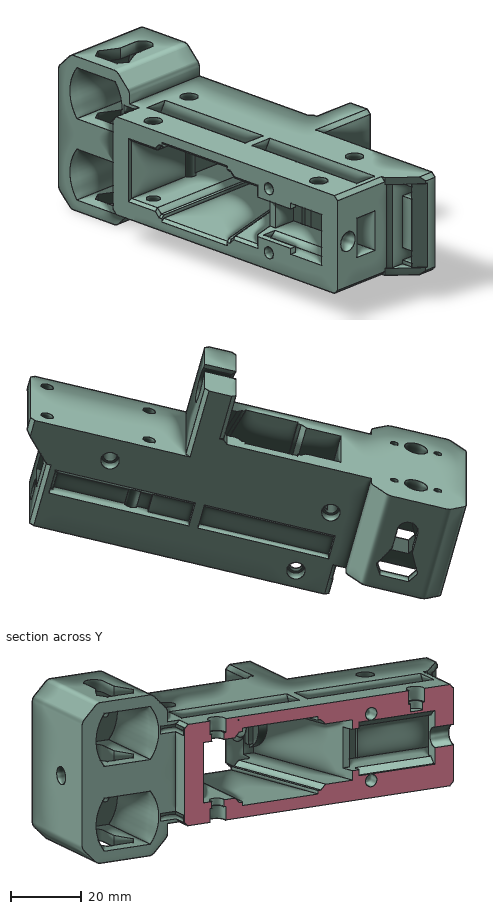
import cadquery as cq
import math

LENGTH = 126.8
TOTAL_DEPTH = 53.5
BLOCK_HEIGHT = 47.7

BLOCK_LENGTH = 28.0
BLOCK_FRONT = 9.5
BLOCK_BACK = 38.5
BLOCK_CHAMFER = 5.1
BLOCK_ROUND = 2.5
MOTOR_X = 14.8
MOTOR_Z = 12.5
MOTOR_HALF_WIDTH = 10.3
MOTOR_HALF_HEIGHT = 7.9
MOTOR_FLAT_HALF = 7.5
MOTOR_DEPTH = 24.1
SHAFT_DIAMETER = 6.7
MOTOR_SCREW_DIAMETER = 2.2
MOTOR_SCREW_PITCH = 12.8
KEY_WIDTH = 6.0
KEY_TOP_Y = 31.8
KEY_NECK_Y = 22.7
KEY_WIDE_Y = 16.7
KEY_WIDE_HALF = 6.1
KEY_BASE_Y = 13.7
KEY_BASE_HALF = 4.2

SCREW_DIAMETER = 4.0
SCREW_MOUTH = 5.2
MOUTH_DEPTH = 4.0
SIDE_HOLE_Y = 21.7
THROUGH_SCREWS = [(36.5, 25.2), (101.5, 25.2), (41.6, 5.1)]
BLIND_SCREW = (106.6, 5.1)
BLIND_SCREW_DEPTH = 6.3

BODY_START = 30.5
BODY_END = 118.8
BODY_HALF = 15.1
BODY_CHAMFER = 1.3
FINGER_START = 71.7
FINGER_END = 81.0
FINGER_ROOT = 1.1
TONGUE_BACK = 32.1
TONGUE_FRONT = 28.1
TONGUE_ROOT = 19.6

CAVITY_START = 37.0
CAVITY_END = 86.7
CAVITY_HALF = 8.9
RECESS_START = 49.7
RECESS_END = 75.4
RECESS_HALF = 11.4
RECESS_LEDGE_HALF = 10.4
LEDGE_WIDTH = 1.0
MOUTH_CHAMFER = 0.9
WALL_ANGLE = 15.0

RING_Y = 47.9
RING_DIAMETER = 10.0
RING_CHAMFER = 1.0
RING_GAP = 5.0
NOTCH_HALF = 8.9
NOTCH_BACK = 43.2
PAD_Y = 45.2
PAD_RADIUS = 7.4
PAD_START = 73.8
RIM_START = 72.2
RIM_HALF = 5.6
RIM_FRONT = 41.2

CHAMBER_START = 87.8
CHAMBER_END = 112.5
CHAMBER_HALF = 6.1
CHAMBER_DEPTH = 8.1
CHAMBER_BACK = 15.6
RELIEF_START = 100.4
RELIEF_HALF = 7.9
RELIEF_BACK = 6.7
LIP_THICKNESS = 2.0
END_HOLE_DIAMETER = 6.0
END_HOLE_Y = 4.3

TIE_DIAMETER = 3.5
TIE_Z = 9.9
BODY_TIE_X = 91.8
TONGUE_TIE_X = 121.8
TIE_GROOVE_DEPTH = 1.3
SEAT_HALF = 12.9
SEAT_DEPTH = 0.6
SEAT_GROOVE_WIDTH = 3.8
SEAT_GROOVE_FLOOR = 25.7
SQUARE_HOLE_BACK = 30.2

WINDOW_FRONT = 11.0
WINDOW_BACK = 18.5
WINDOW_SLOPE = 60.0
WINDOW_DEPTH = 3.2
LEFT_WINDOW_START = 33.5
LEFT_WINDOW_END = 72.0
RIGHT_WINDOW_START = 74.7
RIGHT_WINDOW_END = 115.8
DEEP_WINDOW_END = 114.7
DEEP_WINDOW_DEPTH = 5.1

CHANNEL_RADIUS = 4.8
CHANNEL_Z = 12.9
CHANNEL_WIDTH = 2.3
CHANNEL_END = 33.0

WALL_LEAN = math.tan(math.radians(WALL_ANGLE))
SIDES = (1, -1)


def box(x0, x1, y0, y1, half_z):
    """Box between two corners in plan, centred on the mid plane."""
    return (cq.Workplane("XY").box(x1 - x0, y1 - y0, 2 * half_z, centered=(False, False, True))
            .translate((x0, y0, 0)))


def plan_prism(points, half_z):
    """Plan outline extruded evenly about the mid plane."""
    return cq.Workplane("XY").polyline(points).close().extrude(half_z, both=True)


def y_cylinder(x, z, diameter, y0, y1):
    return cq.Workplane(cq.Solid.makeCylinder(
        diameter / 2, y1 - y0, cq.Vector(x, y0, z), cq.Vector(0, 1, 0)))


def x_cylinder(y, diameter, x0, x1):
    return cq.Workplane(cq.Solid.makeCylinder(
        diameter / 2, x1 - x0, cq.Vector(x0, y, 0), cq.Vector(1, 0, 0)))


def screw_hole(mouth, direction, depth):
    """Round hole with a wider bore at its mouth."""
    start = cq.Vector(*mouth)
    axis = cq.Vector(*direction)
    hole = cq.Solid.makeCylinder(SCREW_DIAMETER / 2, depth, start, axis)
    bore = cq.Solid.makeCylinder(SCREW_MOUTH / 2, MOUTH_DEPTH, start, axis)
    return cq.Workplane(hole).union(cq.Workplane(bore))


def wall_x(y):
    """X of the leaning end wall of the main cavity."""
    return CAVITY_END - y * WALL_LEAN


def motor_block():
    return (box(0, BLOCK_LENGTH, BLOCK_FRONT, BLOCK_BACK, BLOCK_HEIGHT / 2)
            .edges("|Y").chamfer(BLOCK_CHAMFER)
            .edges("|Y").fillet(BLOCK_ROUND))


def body():
    root = FINGER_START - FINGER_ROOT
    main = box(BODY_START, BODY_END, 0, TONGUE_BACK, BODY_HALF).edges("|Y").chamfer(BODY_CHAMFER)
    rear = plan_prism([
        (MOTOR_X, BLOCK_FRONT), (FINGER_END, BLOCK_FRONT), (FINGER_END, BLOCK_BACK + FINGER_ROOT),
        (FINGER_START, BLOCK_BACK + FINGER_ROOT), (root, BLOCK_BACK), (MOTOR_X, BLOCK_BACK),
    ], BODY_HALF)
    finger = (box(FINGER_START, FINGER_END, TONGUE_BACK, TOTAL_DEPTH, BODY_HALF)
              .edges("|Y").chamfer(BODY_CHAMFER))
    rear = rear.cut(box(FINGER_START + BODY_CHAMFER, FINGER_END, TONGUE_BACK, TOTAL_DEPTH, BODY_HALF))
    tongue = (plan_prism([
        (FINGER_START, TONGUE_ROOT), (BODY_END, TONGUE_ROOT), (LENGTH, TONGUE_FRONT),
        (LENGTH, TONGUE_BACK), (FINGER_START, TONGUE_BACK),
    ], BODY_HALF).edges("|Y and >X").chamfer(BODY_CHAMFER))
    return main.union(rear).union(finger).union(tongue)


def motor_cuts(side):
    """Flat-sided motor pocket with its shaft hole and two screw holes."""
    z = side * MOTOR_Z
    floor = BLOCK_FRONT + MOTOR_DEPTH
    cuts = (cq.Workplane("XZ", origin=(MOTOR_X, BLOCK_FRONT, z))
            .moveTo(-MOTOR_FLAT_HALF, -MOTOR_HALF_HEIGHT)
            .lineTo(MOTOR_FLAT_HALF, -MOTOR_HALF_HEIGHT)
            .threePointArc((MOTOR_HALF_WIDTH, 0), (MOTOR_FLAT_HALF, MOTOR_HALF_HEIGHT))
            .lineTo(-MOTOR_FLAT_HALF, MOTOR_HALF_HEIGHT)
            .threePointArc((-MOTOR_HALF_WIDTH, 0), (-MOTOR_FLAT_HALF, -MOTOR_HALF_HEIGHT))
            .close().extrude(-MOTOR_DEPTH))
    cuts = cuts.union(y_cylinder(MOTOR_X, z, SHAFT_DIAMETER, floor, BLOCK_BACK))
    for offset in (-MOTOR_SCREW_PITCH / 2, MOTOR_SCREW_PITCH / 2):
        cuts = cuts.union(y_cylinder(MOTOR_X + offset, z, MOTOR_SCREW_DIAMETER, floor, BLOCK_BACK))
    return cuts


def keyhole():
    half = KEY_WIDTH / 2
    return (cq.Workplane("XY").center(MOTOR_X, 0)
            .moveTo(-half, KEY_NECK_Y).lineTo(-half, KEY_TOP_Y - half)
            .threePointArc((0, KEY_TOP_Y), (half, KEY_TOP_Y - half))
            .lineTo(half, KEY_NECK_Y).lineTo(KEY_WIDE_HALF, KEY_WIDE_Y)
            .lineTo(KEY_BASE_HALF, KEY_BASE_Y).lineTo(-KEY_BASE_HALF, KEY_BASE_Y)
            .lineTo(-KEY_WIDE_HALF, KEY_WIDE_Y)
            .close().extrude(BLOCK_HEIGHT / 2, both=True))


def cavity_section(y, lean_y, grow):
    """Closed stepped section of the main cavity; its +X steps follow the leaning wall."""
    shift = lean_y * WALL_LEAN
    ramp = RECESS_LEDGE_HALF - CAVITY_HALF
    upper = [
        (CAVITY_START - grow / 2, CAVITY_HALF),
        (RECESS_START - LEDGE_WIDTH - ramp, CAVITY_HALF),
        (RECESS_START - LEDGE_WIDTH, RECESS_LEDGE_HALF),
        (RECESS_START, RECESS_LEDGE_HALF),
        (RECESS_START, RECESS_HALF),
        (RECESS_END - shift, RECESS_HALF),
        (RECESS_END - shift, RECESS_LEDGE_HALF),
        (RECESS_END + LEDGE_WIDTH - shift, RECESS_LEDGE_HALF),
        (RECESS_END + LEDGE_WIDTH + ramp - shift, CAVITY_HALF),
        (CAVITY_END + grow - shift, CAVITY_HALF),
    ]
    outline = [cq.Vector(x, y, z + grow) for x, z in upper]
    outline += [cq.Vector(x, y, -z - grow) for x, z in reversed(upper)]
    return cq.Wire.makePolygon(outline, close=True)


def main_cavity():
    through = cq.Solid.makeLoft(
        [cavity_section(0, 0, 0), cavity_section(BLOCK_BACK, BLOCK_BACK, 0)], True)
    mouth = cq.Solid.makeLoft(
        [cavity_section(0, 0, MOUTH_CHAMFER), cavity_section(MOUTH_CHAMFER, MOUTH_CHAMFER, 0)], True)
    return cq.Workplane(through).union(cq.Workplane(mouth))


def cavity_with_notch():
    """Main cavity, with the leaning wall carried into the finger around a raised pad and rim."""
    start = FINGER_START - FINGER_ROOT
    notch = plan_prism([
        (start, BLOCK_BACK), (wall_x(BLOCK_BACK), BLOCK_BACK),
        (wall_x(NOTCH_BACK), NOTCH_BACK), (start, NOTCH_BACK),
    ], NOTCH_HALF)
    pad = x_cylinder(PAD_Y, 2 * PAD_RADIUS, PAD_START, FINGER_END)
    rim = box(RIM_START, FINGER_END, RIM_FRONT, NOTCH_BACK, RIM_HALF)
    return main_cavity().union(notch).cut(pad).cut(rim)


def finger_ring():
    """Round seat along X, chamfered on the motor side and open at the finger tip."""
    seat = x_cylinder(RING_Y, RING_DIAMETER, FINGER_START, FINGER_END)
    cone = cq.Workplane(cq.Solid.makeCone(
        RING_DIAMETER / 2 + RING_CHAMFER, RING_DIAMETER / 2, RING_CHAMFER,
        cq.Vector(FINGER_START, RING_Y, 0), cq.Vector(1, 0, 0)))
    gap = box(FINGER_START, FINGER_END, RING_Y, TOTAL_DEPTH, RING_GAP / 2)
    return seat.union(cone).union(gap)


def relief(x0, y0):
    """Taller front part of the side chamber, closing at 45 degrees toward the back."""
    taper = RELIEF_HALF - CHAMBER_HALF
    return (cq.Workplane("YZ", origin=(x0, 0, 0))
            .polyline([
                (y0, -RELIEF_HALF), (RELIEF_BACK - taper, -RELIEF_HALF),
                (RELIEF_BACK, -CHAMBER_HALF), (RELIEF_BACK, CHAMBER_HALF),
                (RELIEF_BACK - taper, RELIEF_HALF), (y0, RELIEF_HALF),
            ]).close().extrude(CHAMBER_END - x0))


def side_chamber():
    front = plan_prism([
        (wall_x(0), 0), (CHAMBER_END, 0), (CHAMBER_END, CHAMBER_DEPTH),
        (wall_x(CHAMBER_DEPTH), CHAMBER_DEPTH),
    ], CHAMBER_HALF)
    rear = box(CAVITY_END, BODY_END, CHAMBER_DEPTH, CHAMBER_BACK, CHAMBER_HALF)
    tie_groove = box(BODY_TIE_X - TIE_DIAMETER / 2, BODY_TIE_X + TIE_DIAMETER / 2,
                     CHAMBER_BACK, CHAMBER_BACK + TIE_GROOVE_DEPTH, TIE_Z)
    end_hole = x_cylinder(END_HOLE_Y, END_HOLE_DIAMETER, CHAMBER_END, BODY_END)
    return (front.union(rear).union(tie_groove).union(end_hole)
            .union(relief(RELIEF_START, 0)).union(relief(CHAMBER_START, LIP_THICKNESS)))


def tongue_seat():
    """Sunken slope on the tongue with a tie groove and square-mouthed tie holes."""
    seat = plan_prism([
        (BODY_END, TONGUE_ROOT), (LENGTH, TONGUE_FRONT),
        (LENGTH, TONGUE_FRONT + SEAT_DEPTH), (BODY_END, TONGUE_ROOT + SEAT_DEPTH),
    ], SEAT_HALF)
    half = SEAT_GROOVE_WIDTH / 2
    x0 = TONGUE_TIE_X - half
    x1 = TONGUE_TIE_X + half
    cuts = seat.union(box(x0, x1, TONGUE_ROOT, SEAT_GROOVE_FLOOR, SEAT_HALF))
    for side in SIDES:
        square = box(x0, x1, TONGUE_ROOT, SQUARE_HOLE_BACK, half).translate((0, 0, side * TIE_Z))
        hole = y_cylinder(TONGUE_TIE_X, side * TIE_Z, TIE_DIAMETER, SQUARE_HOLE_BACK, TONGUE_BACK)
        cuts = cuts.union(square).union(hole)
    return cuts


def window(x0, x1, depth):
    """Pocket in the top face whose back wall slopes down toward the front."""
    run = depth / math.tan(math.radians(WINDOW_SLOPE))
    floor = BODY_HALF - depth
    return (cq.Workplane("YZ", origin=(x0, 0, 0))
            .polyline([
                (WINDOW_FRONT, floor), (WINDOW_BACK - run, floor),
                (WINDOW_BACK, BODY_HALF), (WINDOW_FRONT, BODY_HALF),
            ]).close().extrude(x1 - x0))


def windows():
    upper = window(LEFT_WINDOW_START, LEFT_WINDOW_END, WINDOW_DEPTH)
    upper = upper.union(window(RIGHT_WINDOW_START, RIGHT_WINDOW_END, WINDOW_DEPTH))
    upper = upper.union(window(CAVITY_END, DEEP_WINDOW_END, DEEP_WINDOW_DEPTH))
    return upper.union(upper.mirror("XY"))


def wire_channel(side):
    """Flat disc around the inner corner, stopped short of the nearby window."""
    disc = (cq.Workplane("XY", origin=(BODY_START, BLOCK_FRONT, side * CHANNEL_Z))
            .circle(CHANNEL_RADIUS).extrude(CHANNEL_WIDTH / 2, both=True))
    return disc.intersect(box(0, CHANNEL_END, 0, BLOCK_BACK, BODY_HALF))


part = motor_block().union(body())
part = part.cut(cavity_with_notch()).cut(finger_ring())
part = part.cut(side_chamber()).cut(tongue_seat()).cut(windows()).cut(keyhole())
for side in SIDES:
    part = part.cut(motor_cuts(side)).cut(wire_channel(side))
    part = part.cut(y_cylinder(BODY_TIE_X, side * TIE_Z, TIE_DIAMETER, 0, TONGUE_BACK))
    for x, y in THROUGH_SCREWS:
        part = part.cut(screw_hole((x, y, side * BODY_HALF), (0, 0, -side), BODY_HALF))
part = part.cut(screw_hole((*BLIND_SCREW, BODY_HALF), (0, 0, -1), BLIND_SCREW_DEPTH))
part = part.cut(screw_hole((0, SIDE_HOLE_Y, 0), (1, 0, 0), MOTOR_X))
result = part